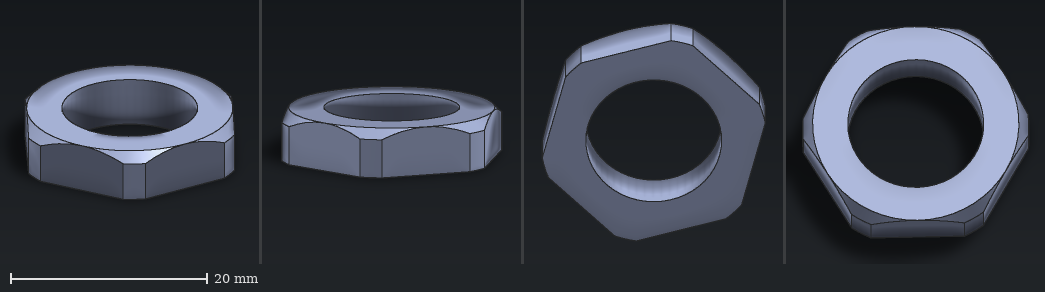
import cadquery as cq
import math

corner_diameter = 23.05
across_flats = 21.0
height = 5.0
bore_diameter = 13.8

corner_radius = corner_diameter / 2
chamfer = (corner_diameter - across_flats) / 2
sharp_corner_diameter = across_flats / math.cos(math.pi / 6)


def hexagon_prism():
    """Sharp hexagon with corners on the X axis and flats facing +Y and -Y."""
    return cq.Workplane("XY").polygon(6, sharp_corner_diameter).extrude(height)


def turned_blank():
    """Round blank chamfered around its top edge only."""
    blank = cq.Workplane("XY").circle(corner_radius).extrude(height)
    return blank.faces(">Z").edges().chamfer(chamfer)


def bore():
    """Plain through hole on the nut axis."""
    return cq.Workplane("XY").circle(bore_diameter / 2).extrude(height)


result = hexagon_prism().intersect(turned_blank()).cut(bore())